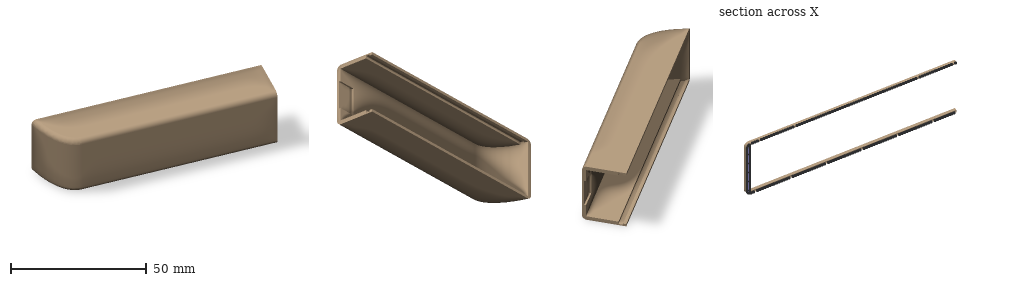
import cadquery as cq
import math

width = 17.0
length = 90.55
height = 25.0

nose_length = 13.6
nose_center_x = -width
nose_semi_x = width - nose_center_x
nose_semi_y = nose_length / math.sqrt(1 - (nose_center_x / nose_semi_x) ** 2)
edge_radius = 2.0

back_wall = 1.6
nose_wall = 1.6
side_wall = 1.6

rim_depth = 3.0
rim_wall = 1.1
lip_width = 1.3
groove_wall = 0.5

recess_height = 11.2
recess_length = 7.4
catch_width = 1.4
catch_depth = 1.0
recess_depth = 0.7


def nose_block(inset_x, inset_y, wall):
    """Straight block with the elliptical nose, inset from the outer surfaces."""
    semi_x = nose_semi_x - inset_x
    semi_y = nose_semi_y - inset_y
    start_angle = math.acos(-nose_center_x / semi_x)
    start_y = nose_length - semi_y * math.sin(start_angle)
    return (
        cq.Workplane("XY", origin=(0, 0, wall))
        .moveTo(0, start_y)
        .ellipseArc(semi_x, semi_y, 360 - math.degrees(start_angle), 360, startAtCurrent=True)
        .lineTo(width - inset_x, length)
        .lineTo(0, length)
        .close()
        .extrude(height - 2 * wall)
    )


def inner_space(wall):
    return nose_block(back_wall, nose_wall, wall)


def rim_space(x_start, wall):
    """Slice of the inner space from x_start to the rim depth."""
    slab = cq.Workplane("XY").box(rim_depth - x_start, length, height, centered=False)
    return inner_space(wall).intersect(slab.translate((x_start, 0, 0)))


def latch_cut(cut_length, start_y, depth):
    pocket = cq.Workplane("XY").box(depth, cut_length, recess_height, centered=False)
    return pocket.translate((width - back_wall, start_y, (height - recess_height) / 2))


body = nose_block(0, 0, 0)
rounded_edges = cq.selectors.BoxSelector((0.1, -0.9, -0.9), (width + 0.9, length - 0.9, height + 0.9))
body = body.faces("<Z or >Z").edges(rounded_edges).fillet(edge_radius)

body = body.cut(inner_space(side_wall))
body = body.cut(rim_space(0, rim_wall))
body = body.cut(rim_space(lip_width, groove_wall))

body = body.cut(latch_cut(recess_length, length - recess_length, recess_depth))
result = body.cut(latch_cut(catch_width, length - recess_length, catch_depth))